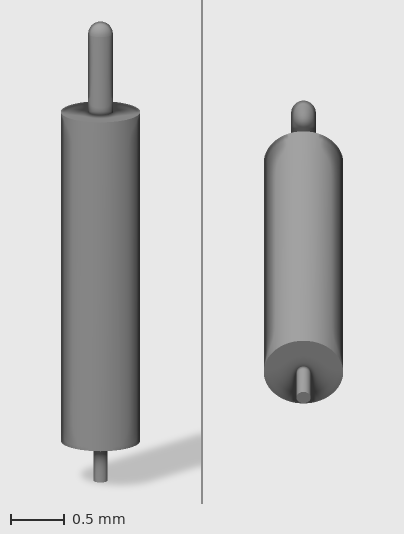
import cadquery as cq

TOTAL_LENGTH = 4.44
BARREL_DIAMETER = 0.74
BARREL_LENGTH = 3.185
TAIL_DIAMETER = 0.135
TAIL_LENGTH = 0.385
PLUNGER_DIAMETER = 0.23

BARREL_TOP = TAIL_LENGTH + BARREL_LENGTH
PLUNGER_RADIUS = PLUNGER_DIAMETER / 2
PLUNGER_LENGTH = TOTAL_LENGTH - BARREL_TOP


def make_barrel():
    """Cylindrical barrel with a thin solder tail below it."""
    tail = cq.Workplane("XY").circle(TAIL_DIAMETER / 2).extrude(TAIL_LENGTH)
    return tail.faces(">Z").workplane().circle(BARREL_DIAMETER / 2).extrude(BARREL_LENGTH)


def make_plunger():
    """Round plunger standing on the barrel's top face, with a hemispherical tip."""
    shaft_length = PLUNGER_LENGTH - PLUNGER_RADIUS
    shaft_top = BARREL_TOP + shaft_length
    shaft = cq.Workplane("XY").workplane(offset=BARREL_TOP).circle(PLUNGER_RADIUS).extrude(shaft_length)
    tip = cq.Workplane("XY").workplane(offset=shaft_top).sphere(PLUNGER_RADIUS)
    return shaft.union(tip)


barrel = make_barrel()
plunger = make_plunger()

result = cq.Compound.makeCompound([barrel.val(), plunger.val()])